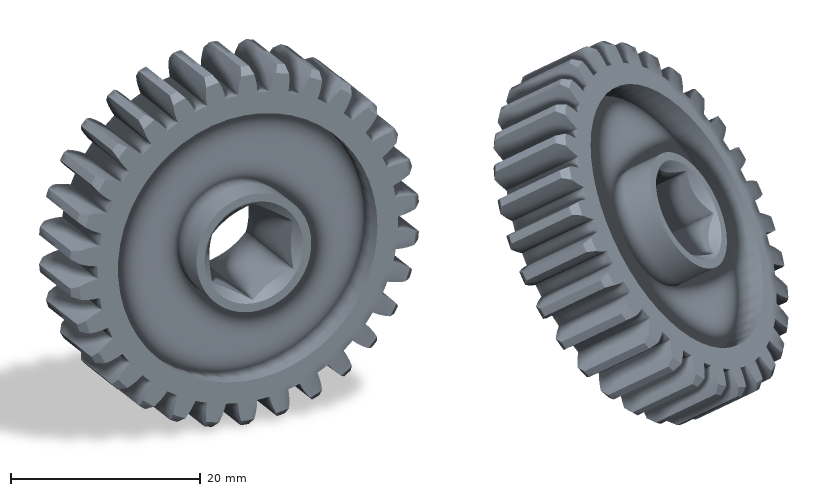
import cadquery as cq
import math

tooth_count = 30
outer_diameter = 40.65
addendum_factor = 1.0
dedendum_factor = 1.25
tip_thickness = 0.95
pitch_thickness = 1.83
root_thickness = 2.25

module = outer_diameter / (tooth_count + 2 * addendum_factor)
outer_radius = outer_diameter / 2
pitch_radius = outer_radius - addendum_factor * module
root_radius = pitch_radius - dedendum_factor * module
tooth_pitch = 2 * math.pi / tooth_count

face_width = 9.5
hub_length = 12.7
web_thickness = 2.85
tip_chamfer = 0.77

recess_diameter = 30.15
hub_diameter = 13.35
hex_across_flats = 9.45
lead_in_diameter = 11.45

recess_depth = (face_width - web_thickness) / 2


def disc(diameter, width):
    """Cylinder on the X axis, centred on the origin."""
    return cq.Workplane("YZ").circle(diameter / 2).extrude(width).translate((-width / 2, 0, 0))


def polar(radius, angle):
    """Point in the YZ plane, with the angle measured from +Z towards +Y."""
    return (radius * math.sin(angle), radius * math.cos(angle))


def half_angle(thickness, radius):
    """Half the angle spanned by a tooth of the given straight thickness at a radius."""
    return math.asin(thickness / (2 * radius))


def gear_outline():
    """Closed outline of all teeth: every flank, tip and root is one arc."""
    tip_half = half_angle(tip_thickness, outer_radius)
    pitch_half = half_angle(pitch_thickness, pitch_radius)
    root_half = half_angle(root_thickness, root_radius)

    outline = cq.Workplane("YZ").moveTo(*polar(root_radius, -root_half))
    for tooth in range(tooth_count):
        centre = tooth * tooth_pitch
        gap_centre = centre + tooth_pitch / 2
        next_root = centre + tooth_pitch - root_half
        outline = (
            outline
            .threePointArc(polar(pitch_radius, centre - pitch_half), polar(outer_radius, centre - tip_half))
            .threePointArc(polar(outer_radius, centre), polar(outer_radius, centre + tip_half))
            .threePointArc(polar(pitch_radius, centre + pitch_half), polar(root_radius, centre + root_half))
            .threePointArc(polar(root_radius, gap_centre), polar(root_radius, next_root))
        )
    return outline.close()


def toothed_rim():
    """Toothed disc whose tips are bevelled at both ends."""
    teeth = gear_outline().extrude(face_width).translate((-face_width / 2, 0, 0))
    bevelled_blank = disc(outer_diameter, face_width).edges("%CIRCLE").chamfer(tip_chamfer)
    return teeth.intersect(bevelled_blank)


def web_recess(side):
    """Round recess in one face of the gear; side is -1 or +1 along X."""
    pocket = cq.Workplane("YZ").circle(recess_diameter / 2).extrude(recess_depth)
    start = web_thickness / 2 if side > 0 else -face_width / 2
    return pocket.translate((start, 0, 0))


def hex_bore():
    """Through hexagon with two corners on the Z axis."""
    across_corners = hex_across_flats / math.cos(math.pi / 6)
    hexagon = cq.Workplane("YZ").transformed(rotate=(0, 0, 90)).polygon(6, across_corners)
    return hexagon.extrude(hub_length).translate((-hub_length / 2, 0, 0))


def lead_in(side):
    """45 degree cone at one end of the bore, running down to its apex on the axis."""
    radius = lead_in_diameter / 2
    mouth = side * hub_length / 2
    profile = [(mouth, 0), (mouth, radius), (mouth - side * radius, 0)]
    cone = cq.Workplane("XY").polyline(profile).close()
    return cone.revolve(360, (0, 0, 0), (1, 0, 0))


gear = toothed_rim()
for side in (-1, 1):
    gear = gear.cut(web_recess(side))
gear = gear.union(disc(hub_diameter, hub_length)).cut(hex_bore())
for side in (-1, 1):
    gear = gear.cut(lead_in(side))

result = gear